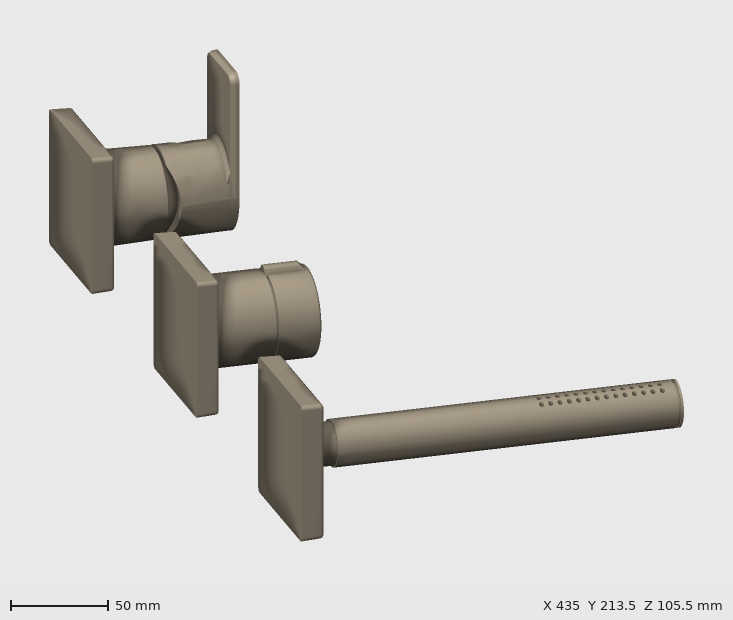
import cadquery as cq
PLATE_SIDE = 75.0
UNIT_PITCH = (435 - PLATE_SIDE) / 2
LEVER_X = PLATE_SIDE / 2
KNOB_X = LEVER_X + UNIT_PITCH
SHOWER_X = KNOB_X + UNIT_PITCH
UNIT_CENTRES = [LEVER_X, KNOB_X, SHOWER_X]

PLATE_THICKNESS = 12.0
PLATE_TAPER = 2.0
PLATE_CORNER_RADIUS = 2.0
PLATE_EDGE_FILLET = 1.7

LEVER_SLEEVE_BASE_RADIUS = 25.2
LEVER_SLEEVE_TOP_RADIUS = 24.5
LEVER_SLEEVE_END = 45.0
SHOULDER_HEIGHT = 8.5
SHOULDER_TOP_RADIUS = LEVER_SLEEVE_TOP_RADIUS - SHOULDER_HEIGHT

SKIRT_START = 47.0
SKIRT_RADIUS = 24.58
SCOOP_DEPTH = 5.2
SCOOP_HALF_CHORD = 19.0
LEVER_BACK = 84.5
LEVER_THICKNESS = 5.0
LEVER_FRONT = LEVER_BACK - LEVER_THICKNESS
LEVER_HALF_WIDTH = 21.0
LEVER_TOP = 68.0
LEVER_CORNER_RADIUS = 5.2
ROOT_FLARE = 2.0
ROOT_BOTTOM = 2.0
LEVER_BEVEL_WIDTH = 1.1
LEVER_BEVEL_DEPTH = 2.5

PLUG_RADIUS = 4.0
PLUG_DEPTH = 4.5
PLUG_Y = 56.5

KNOB_RADIUS = 24.5
KNOB_SLEEVE_START = 1.1
KNOB_SLEEVE_END = 47.0
KNOB_NECK_RADIUS = 23.0
KNOB_START = 48.5
KNOB_END = 71.5
KNOB_EDGE_FILLET = 1.5
RIB_BASE_WIDTH = 9.5
RIB_TOP_WIDTH = 6.0
RIB_SHOULDER_HEIGHT = 26.5
RIB_CREST_HEIGHT = 28.0
RIB_END = 69.0
RIB_END_CHAMFER = 4.0

FLANGE_RADIUS = 15.2
FLANGE_END = 18.3
HOLDER_NECK_RADIUS = 11.53
WAND_START = 27.5
WAND_RADIUS = 12.5
WAND_END = 213.5
WAND_GROOVE_START = 211.0
WAND_GROOVE_WIDTH = 1.5
WAND_GROOVE_DEPTH = 1.0
NOZZLE_COLUMNS = 4
NOZZLE_ROWS = 14
NOZZLE_COLUMN_PITCH = 4.5
NOZZLE_ROW_PITCH = 5.0
NOZZLE_FIRST_Y = 138.8
NOZZLE_RADIUS = 1.5
NOZZLE_FLOOR = 8.3


def across(x, y):
    """Workplane at (x, y) whose normal is +Y, with local x = X and local y = -Z."""
    return cq.Workplane(cq.Plane(origin=(x, y, 0), xDir=(1, 0, 0), normal=(0, 1, 0)))


def revolved(x, profile):
    """Solid turned about the +Y axis through x, from (radius, y) points that start and end on the axis."""
    turned = cq.Workplane("XY").polyline(profile).close().revolve(360, (0, 0, 0), (0, 1, 0))
    return turned.translate((x, 0, 0))


def wall_plate(x):
    plate = across(x, 0).rect(PLATE_SIDE, PLATE_SIDE).extrude(PLATE_THICKNESS, taper=PLATE_TAPER)
    plate = plate.edges("not(#Y)").edges("not(|X or |Z)").fillet(PLATE_CORNER_RADIUS)
    return plate.faces(">Y").edges().fillet(PLATE_EDGE_FILLET)


def lever_sleeve():
    shoulder_end = LEVER_SLEEVE_END + SHOULDER_HEIGHT
    return revolved(LEVER_X, [
        (0, PLATE_THICKNESS),
        (LEVER_SLEEVE_BASE_RADIUS, PLATE_THICKNESS),
        (LEVER_SLEEVE_TOP_RADIUS, LEVER_SLEEVE_END),
        (SHOULDER_TOP_RADIUS, shoulder_end),
        (0, shoulder_end),
    ])


def handle_skirt():
    skirt = (
        across(LEVER_X, SKIRT_START)
        .circle(SKIRT_RADIUS)
        .workplane(offset=LEVER_FRONT - SKIRT_START)
        .ellipse(LEVER_HALF_WIDTH, SKIRT_RADIUS)
        .loft()
    )
    scoop_radius = (SCOOP_HALF_CHORD**2 + SCOOP_DEPTH**2) / (2 * SCOOP_DEPTH)
    scoop_y = SKIRT_START + SCOOP_DEPTH - scoop_radius
    scoop = cq.Workplane("YZ").center(scoop_y, 0).circle(scoop_radius).extrude(2 * PLATE_SIDE)
    return skirt.cut(scoop)


def lever_root():
    """Flare that blends the upper half of the skirt into the lever, no wider than the lever's front face."""
    flare = (
        across(LEVER_X, LEVER_FRONT - 2 * ROOT_FLARE)
        .ellipse(LEVER_HALF_WIDTH - ROOT_FLARE, SKIRT_RADIUS - ROOT_FLARE)
        .workplane(offset=2 * ROOT_FLARE)
        .ellipse(LEVER_HALF_WIDTH + ROOT_FLARE, SKIRT_RADIUS + ROOT_FLARE)
        .loft()
    )
    upper_half = (
        cq.Workplane("XY", origin=(LEVER_X, LEVER_FRONT, ROOT_BOTTOM))
        .rect(2 * (LEVER_HALF_WIDTH - LEVER_BEVEL_WIDTH), 4 * ROOT_FLARE)
        .extrude(LEVER_TOP)
    )
    return flare.intersect(upper_half)


def lever():
    blade = (
        across(LEVER_X, LEVER_FRONT)
        .center(0, -LEVER_TOP / 2)
        .rect(2 * LEVER_HALF_WIDTH, LEVER_TOP)
        .extrude(LEVER_THICKNESS)
    )
    blade = blade.edges("|Y and >Z").fillet(LEVER_CORNER_RADIUS)
    blade = blade.faces("<Y").edges("not <Z").chamfer(LEVER_BEVEL_WIDTH, LEVER_BEVEL_DEPTH)
    rounded_foot = (
        across(LEVER_X, LEVER_FRONT)
        .moveTo(LEVER_HALF_WIDTH, 0)
        .ellipseArc(LEVER_HALF_WIDTH, SKIRT_RADIUS, 0, 180, startAtCurrent=True)
        .close()
        .extrude(LEVER_THICKNESS)
    )
    return blade.union(rounded_foot)


def plug_column():
    column = cq.Workplane("XY").workplane(offset=SKIRT_RADIUS - PLUG_DEPTH).center(LEVER_X, PLUG_Y)
    return column.circle(PLUG_RADIUS).extrude(2 * PLUG_DEPTH)


def lever_handle_blank():
    return handle_skirt().union(lever().union(lever_root()))


def lever_handle():
    return lever_handle_blank().cut(lever_sleeve()).cut(plug_column())


def handle_plug():
    return lever_handle_blank().intersect(plug_column())


def knob_sleeve():
    sleeve_length = KNOB_SLEEVE_END - KNOB_SLEEVE_START
    return across(KNOB_X, KNOB_SLEEVE_START).circle(KNOB_RADIUS).extrude(sleeve_length)


def knob_rib():
    half_base = RIB_BASE_WIDTH / 2
    half_top = RIB_TOP_WIDTH / 2
    rib = (
        across(KNOB_X, KNOB_SLEEVE_END)
        .moveTo(-half_base, 0)
        .lineTo(-half_base, -KNOB_NECK_RADIUS)
        .lineTo(-half_top, -RIB_SHOULDER_HEIGHT)
        .threePointArc((0, -RIB_CREST_HEIGHT), (half_top, -RIB_SHOULDER_HEIGHT))
        .lineTo(half_base, -KNOB_NECK_RADIUS)
        .lineTo(half_base, 0)
        .close()
        .extrude(RIB_END - KNOB_SLEEVE_END)
    )
    bevel = (
        cq.Workplane("YZ", origin=(KNOB_X, 0, 0))
        .moveTo(RIB_END - RIB_END_CHAMFER, RIB_CREST_HEIGHT)
        .lineTo(RIB_END, RIB_CREST_HEIGHT)
        .lineTo(RIB_END, RIB_CREST_HEIGHT - RIB_END_CHAMFER)
        .close()
        .extrude(RIB_BASE_WIDTH, both=True)
    )
    return rib.cut(bevel)


def knob():
    neck = across(KNOB_X, KNOB_SLEEVE_END).circle(KNOB_NECK_RADIUS).extrude(KNOB_START - KNOB_SLEEVE_END)
    cap = across(KNOB_X, KNOB_START).circle(KNOB_RADIUS).extrude(KNOB_END - KNOB_START)
    cap = cap.faces(">Y").edges().fillet(KNOB_EDGE_FILLET)
    return cap.union(neck).union(knob_rib())


def shower_holder():
    flange = across(SHOWER_X, PLATE_THICKNESS).circle(FLANGE_RADIUS).extrude(FLANGE_END - PLATE_THICKNESS)
    neck = across(SHOWER_X, FLANGE_END).circle(HOLDER_NECK_RADIUS).extrude(WAND_START - FLANGE_END)
    return flange.union(neck)


def hand_shower():
    wand = across(SHOWER_X, WAND_START).circle(WAND_RADIUS).extrude(WAND_END - WAND_START)
    groove = (
        across(SHOWER_X, WAND_GROOVE_START)
        .circle(WAND_RADIUS)
        .circle(WAND_RADIUS - WAND_GROOVE_DEPTH)
        .extrude(WAND_GROOVE_WIDTH)
    )
    nozzle_middle_y = NOZZLE_FIRST_Y + (NOZZLE_ROWS - 1) * NOZZLE_ROW_PITCH / 2
    nozzles = (
        cq.Workplane("XY", origin=(SHOWER_X, nozzle_middle_y, NOZZLE_FLOOR))
        .rarray(NOZZLE_COLUMN_PITCH, NOZZLE_ROW_PITCH, NOZZLE_COLUMNS, NOZZLE_ROWS)
        .circle(NOZZLE_RADIUS)
        .extrude(WAND_RADIUS)
    )
    return wand.cut(groove).cut(nozzles)


lever_plate, knob_plate, shower_plate = [wall_plate(x) for x in UNIT_CENTRES]
knob_plate = knob_plate.cut(knob_sleeve())

result = cq.Compound.makeCompound([
    lever_plate.val(),
    knob_plate.val(),
    shower_plate.val(),
    lever_sleeve().val(),
    lever_handle().val(),
    handle_plug().val(),
    knob_sleeve().val(),
    knob().val(),
    shower_holder().val(),
    hand_shower().val(),
])